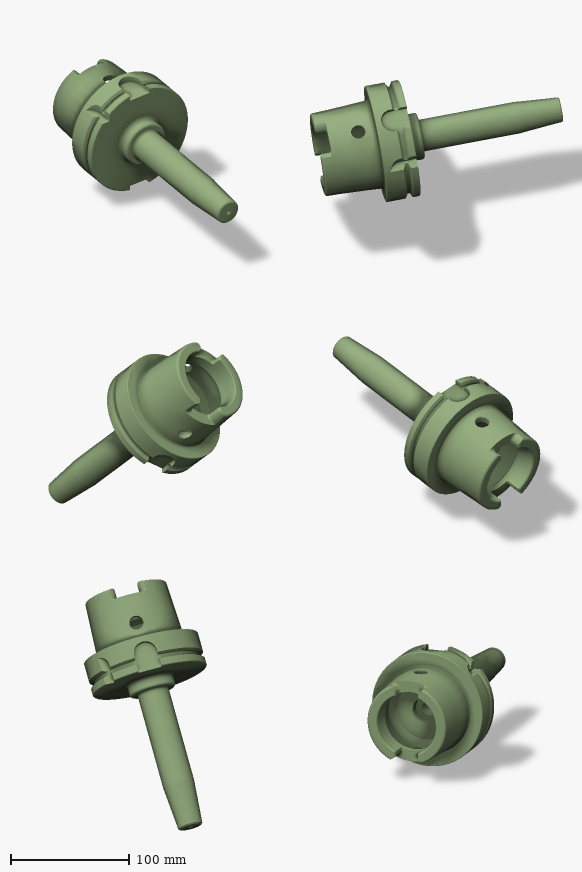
import cadquery as cq
import math

overall_length = 210.0

shank_length = 50.0
taper_end_x = 47.7
relief_end_x = 49.0
relief_end_radius = 38.2
taper_end_radius = 75.8 / 2
taper_ratio = 1 / 9.98
shank_rim_round = 2.0
shank_end_radius = taper_end_radius - taper_end_x * taper_ratio / 2

flange_radius = 100.0 / 2
flange_end_x = 79.0
flange_chamfer = 0.6
flange_back_chamfer = 0.5
groove_start_x = 66.5
groove_end_x = 73.0
groove_floor_radius = 46.0
groove_knee_radius = 47.5
groove_wall_angle = 30.0
groove_corner_round = 0.5

hub_radius = 40.0 / 2
hub_end_x = 88.8
hub_base_fillet = 3.2
hub_round = 2.0
stem_fillet = 1.9
stem_radius = 27.0 / 2
tip_cone_x = 171.8
tip_radius = 21.2 / 2
tip_chamfer = 1.0

mouth_radius = 53.0 / 2
mouth_chamfer = 0.8
mouth_length = 19.3
clamp_bore_radius = 63.0 / 2
clamp_bore_end_x = 41.2
clamp_cone_angle = 50.0
bore_floor_radius = 25.0
bore_floor_cone_angle = 60.0
tube_seat_radius = 22.5 / 2
tube_seat_depth = 8.5
coolant_cone_radius = 12.0 / 2
coolant_radius = 4.2 / 2

cross_hole_x = 35.0
cross_hole_radius = 12.0 / 2
cross_hole_chamfer = 0.5

drive_slot_half_width = 9.9
drive_slot_round = 1.9
flare_start_height = 27.7
flare_radius = 7.0
flare_end_height = 32.1
flare_end_half_width = 15.8
upper_drive_slot_depth = 9.7
lower_drive_slot_depth = 14.7

key_slot_radius = 20.0 / 2
key_slot_center_x = 64.9
key_slot_floor = 44.0
notch_floor = 31.3
notch_wall_y = -31.5


def turned_body():
    """Outside of the holder, with its open rim rounded and no gripper groove."""
    relief_fillet = shank_length - relief_end_x
    body = (
        cq.Workplane("XY")
        .moveTo(0, 0)
        .lineTo(0, shank_end_radius)
        .lineTo(taper_end_x, taper_end_radius)
        .lineTo(relief_end_x, relief_end_radius)
        .radiusArc((shank_length, relief_end_radius + relief_fillet), -relief_fillet)
        .lineTo(shank_length, flange_radius - flange_back_chamfer)
        .lineTo(shank_length + flange_back_chamfer, flange_radius)
        .lineTo(flange_end_x - flange_chamfer, flange_radius)
        .lineTo(flange_end_x, flange_radius - flange_chamfer)
        .lineTo(flange_end_x, hub_radius + hub_base_fillet)
        .radiusArc((flange_end_x + hub_base_fillet, hub_radius), -hub_base_fillet)
        .lineTo(hub_end_x - hub_round, hub_radius)
        .radiusArc((hub_end_x, hub_radius - hub_round), hub_round)
        .lineTo(hub_end_x, stem_radius + stem_fillet)
        .radiusArc((hub_end_x + stem_fillet, stem_radius), -stem_fillet)
        .lineTo(tip_cone_x, stem_radius)
        .lineTo(overall_length - tip_chamfer, tip_radius)
        .lineTo(overall_length, tip_radius - tip_chamfer)
        .lineTo(overall_length, 0)
        .close()
    )
    body = body.revolve(360, (0, 0, 0), (1, 0, 0))
    return body.faces("<X").edges().fillet(shank_rim_round)


def gripper_groove():
    """Ring with a V opening onto a straight-walled, round-cornered floor."""
    inset = (flange_radius - groove_knee_radius) * math.tan(math.radians(groove_wall_angle))
    ring = (
        cq.Workplane("XY")
        .moveTo(groove_start_x, flange_radius)
        .lineTo(groove_start_x + inset, groove_knee_radius)
        .lineTo(groove_start_x + inset, groove_floor_radius)
        .lineTo(groove_end_x - inset, groove_floor_radius)
        .lineTo(groove_end_x - inset, groove_knee_radius)
        .lineTo(groove_end_x, flange_radius)
        .close()
        .revolve(360, (0, 0, 0), (1, 0, 0))
    )
    floor_edges = ring.edges(cq.selectors.RadiusNthSelector(0))
    return floor_edges.fillet(groove_corner_round)


def shank_bore():
    """Mouth, undercut clamping bore, coolant tube seat and through coolant hole."""
    shoulder = (clamp_bore_radius - mouth_radius) / math.tan(math.radians(clamp_cone_angle))
    floor_cone = (clamp_bore_radius - bore_floor_radius) / math.tan(math.radians(bore_floor_cone_angle))
    bore_floor_x = clamp_bore_end_x + floor_cone
    seat_x = bore_floor_x + tube_seat_depth
    cone_end_x = seat_x + coolant_cone_radius - coolant_radius
    return (
        cq.Workplane("XY")
        .moveTo(0, 0)
        .lineTo(0, mouth_radius + mouth_chamfer)
        .lineTo(mouth_chamfer, mouth_radius)
        .lineTo(mouth_length, mouth_radius)
        .lineTo(mouth_length + shoulder, clamp_bore_radius)
        .lineTo(clamp_bore_end_x, clamp_bore_radius)
        .lineTo(bore_floor_x, bore_floor_radius)
        .lineTo(bore_floor_x, tube_seat_radius)
        .lineTo(seat_x, tube_seat_radius)
        .lineTo(seat_x, coolant_cone_radius)
        .lineTo(cone_end_x, coolant_radius)
        .lineTo(overall_length, coolant_radius)
        .lineTo(overall_length, 0)
        .close()
        .revolve(360, (0, 0, 0), (1, 0, 0))
    )


def drive_slot(depth, side):
    """Slot in the shank end, flared at its outer lips; side is +1 for +Z and -1 for -Z."""
    half = drive_slot_half_width
    channel = (
        cq.Workplane("YZ")
        .moveTo(-half, 0)
        .lineTo(half, 0)
        .lineTo(half, flange_radius)
        .lineTo(-half, flange_radius)
        .close()
        .extrude(depth)
        .faces(">X")
        .edges()
        .fillet(drive_slot_round)
    )
    flare = (
        cq.Workplane("YZ")
        .moveTo(0, flare_start_height / 2)
        .lineTo(half, flare_start_height)
        .radiusArc((flare_end_half_width, flare_end_height), flare_radius)
        .lineTo(taper_end_radius, flare_end_height)
        .lineTo(taper_end_radius, flange_radius)
        .lineTo(-taper_end_radius, flange_radius)
        .lineTo(-taper_end_radius, flare_end_height)
        .lineTo(-flare_end_half_width, flare_end_height)
        .radiusArc((-half, flare_start_height), flare_radius)
        .close()
        .extrude(depth)
        .faces(">X")
        .edges()
        .fillet(drive_slot_round)
    )
    entry_half = half + drive_slot_round
    entry = (
        cq.Workplane("XY")
        .moveTo(0, entry_half)
        .radiusArc((drive_slot_round, half), -drive_slot_round)
        .lineTo(drive_slot_round, -half)
        .radiusArc((0, -entry_half), -drive_slot_round)
        .close()
        .extrude(flare_end_height)
    )
    slot = channel.union(flare).union(entry)
    return slot if side > 0 else slot.rotate((0, 0, 0), (1, 0, 0), 180)


def flange_slot(center_y, floor, side):
    """Round-ended slot milled along Z, open at the front of the flange."""
    slot = (
        cq.Workplane("XY", origin=(0, center_y, floor))
        .moveTo(flange_end_x, key_slot_radius)
        .lineTo(key_slot_center_x, key_slot_radius)
        .threePointArc((key_slot_center_x - key_slot_radius, 0), (key_slot_center_x, -key_slot_radius))
        .lineTo(flange_end_x, -key_slot_radius)
        .close()
        .extrude(flange_radius - floor)
    )
    return slot if side > 0 else slot.mirror("XY")


def cross_hole():
    """Hole along Z through both walls of the shank, with its outer rims chamfered."""
    wall_radius = taper_end_radius - (taper_end_x - cross_hole_x) * taper_ratio / 2
    rim_radius = cross_hole_radius + cross_hole_chamfer
    return (
        cq.Workplane("XZ", origin=(cross_hole_x, 0, 0))
        .moveTo(0, 0)
        .lineTo(cross_hole_radius, 0)
        .lineTo(cross_hole_radius, wall_radius - cross_hole_chamfer)
        .lineTo(rim_radius, wall_radius)
        .lineTo(rim_radius, flange_radius)
        .lineTo(0, flange_radius)
        .close()
        .revolve(360, (0, 0, 0), (0, 1, 0))
    )


body = turned_body().cut(gripper_groove())
body = body.cut(drive_slot(upper_drive_slot_depth, 1))
body = body.cut(drive_slot(lower_drive_slot_depth, -1))
body = body.cut(shank_bore())
body = body.cut(cross_hole())
body = body.cut(cross_hole().mirror("XY"))
for side in (1, -1):
    body = body.cut(flange_slot(0, key_slot_floor, side))
body = body.cut(flange_slot(notch_wall_y - key_slot_radius, notch_floor, 1))

result = body